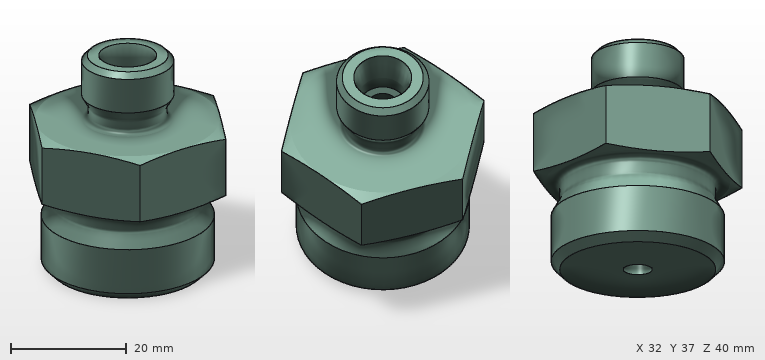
import cadquery as cq
import math

total_height = 40.0
hex_bottom = 16.0
hex_top = 28.0

across_flats = 32.0
across_corners = across_flats / math.cos(math.radians(30))
hex_chamfer_angle = 15.0

undercut_angle = 30.0
large_diameter = 30.0
large_neck_diameter = 27.0
large_length = 9.85
large_blend = 1.2
small_diameter = 16.0
small_neck_diameter = 13.7
small_length = 7.35
small_chamfer = 1.0
small_blend = 1.0
large_chamfer = (large_diameter - large_neck_diameter) / 2

bore_diameter = 5.0
socket_diameter = 8.0
socket_depth = 7.0
cone_mouth_diameter = 10.0
cone_half_angle = 12.0


def revolve_profile(points):
    """Revolve a closed (radius, height) outline about the Z axis."""
    return cq.Workplane("XZ").polyline(points).close().revolve(360, (0, 0, 0), (0, 1, 0))


def blend_arc(workplane, corner, radius, turn, start_angle):
    """Continue the outline with an arc tangent to both lines that meet at the corner."""
    tangent = radius * math.tan(math.radians(abs(turn) / 2))
    heading = math.radians(start_angle)
    leaving = math.radians(start_angle + turn)
    start = (corner[0] - tangent * math.cos(heading), corner[1] - tangent * math.sin(heading))
    end = (corner[0] + tangent * math.cos(leaving), corner[1] + tangent * math.sin(leaving))
    return workplane.lineTo(*start).tangentArcPoint(end, relative=False)


def threaded_end(diameter, neck_diameter, chamfer, length, blend, height):
    """Plain threaded end standing on Z = 0, with its undercut blended into the face at height."""
    radius = diameter / 2
    neck_radius = neck_diameter / 2
    neck_start = length + (radius - neck_radius) / math.tan(math.radians(undercut_angle))
    outline = (
        cq.Workplane("XZ")
        .lineTo(radius - chamfer, 0)
        .lineTo(radius, chamfer)
        .lineTo(radius, length)
    )
    outline = blend_arc(outline, (neck_radius, neck_start), blend, -undercut_angle, 90 + undercut_angle)
    outline = blend_arc(outline, (neck_radius, height), blend, -90, 90)
    return outline.lineTo(0, height).close().revolve(360, (0, 0, 0), (0, 1, 0))


def chamfered_hexagon():
    """Hexagon with corners on the Y axis, its corners turned down on both faces."""
    corner_radius = across_corners / 2
    flat_radius = across_flats / 2
    corner_drop = (corner_radius - flat_radius) * math.tan(math.radians(hex_chamfer_angle))
    prism = (
        cq.Workplane("XY", origin=(0, 0, hex_bottom))
        .polygon(6, across_corners)
        .extrude(hex_top - hex_bottom)
        .rotate((0, 0, 0), (0, 0, 1), 30)
    )
    turned_blank = revolve_profile([
        (0, hex_bottom),
        (flat_radius, hex_bottom),
        (corner_radius, hex_bottom + corner_drop),
        (corner_radius, hex_top - corner_drop),
        (flat_radius, hex_top),
        (0, hex_top),
    ])
    return prism.intersect(turned_blank)


def stepped_bore():
    """Through bore, tube socket and sealing cone as one cutting body."""
    bore_radius = bore_diameter / 2
    socket_radius = socket_diameter / 2
    mouth_radius = cone_mouth_diameter / 2
    cone_depth = (mouth_radius - socket_radius) / math.tan(math.radians(cone_half_angle))
    return revolve_profile([
        (0, 0),
        (bore_radius, 0),
        (bore_radius, total_height - socket_depth),
        (socket_radius, total_height - socket_depth),
        (socket_radius, total_height - cone_depth),
        (mouth_radius, total_height),
        (0, total_height),
    ])


large_end = threaded_end(
    large_diameter, large_neck_diameter, large_chamfer, large_length, large_blend, hex_bottom
)
small_end = (
    threaded_end(
        small_diameter, small_neck_diameter, small_chamfer, small_length, small_blend, total_height - hex_top
    )
    .rotate((0, 0, 0), (1, 0, 0), 180)
    .translate((0, 0, total_height))
)

result = chamfered_hexagon().union(large_end).union(small_end).cut(stepped_bore())